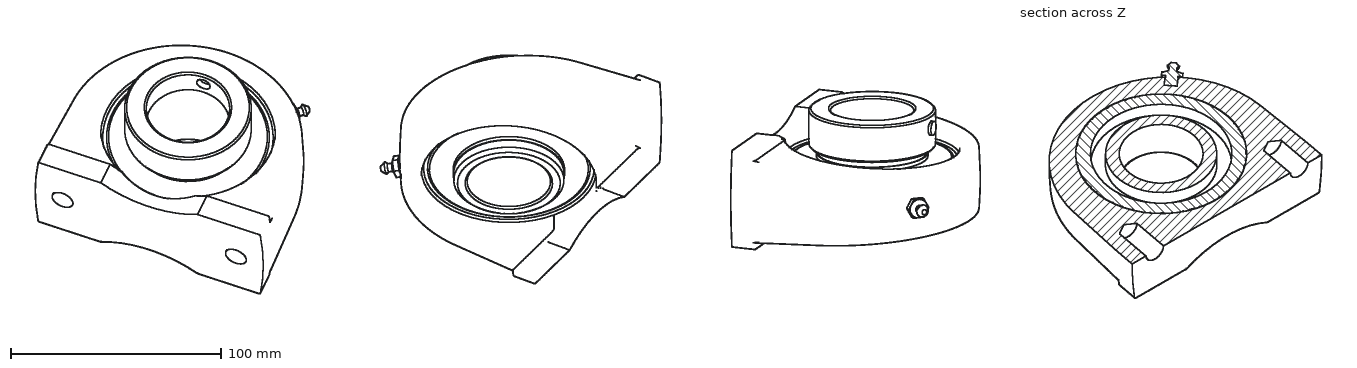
import cadquery as cq
import math


base_y = -49.3
base_step_y = -37.0
base_half_width = 58.5
base_half_height = 24.0
base_bulge_radius = 181.4
base_round = 1.0

crown_radius = 57.6
crown_center_y = -6.5
crown_bulge_radius = 193.0
flank_lean = 1.7
center_half_height = 18.3
taper_slope = 0.06
body_round = 0.8

scallop_half_width = 24.8
scallop_floor_z = 17.4

mount_hole_diameter = 10.6
mount_hole_x = 44.5
mount_hole_depth = 19.9
drill_tip_half_angle = 59.0

seat_diameter = 83.2
seat_round = 1.0
seat_foot = 1.0

ring_half_width = 10.5
ring_diameter = 81.1
ring_mouth_diameter = 77.5
shield_diameter = 75.6
shield_rise = 0.6
shield_thickness = 3.5
shield_boss_diameter = 70.3
shield_boss_z = 11.5
ring_bore_diameter = 67.0

inner_ring_diameter = 53.1
inner_ring_step_z = 13.3
inner_ring_end_diameter = 52.4
inner_ring_bottom_z = -19.3
inner_ring_end_chamfer = 1.8
bore_diameter = 39.7
bore_chamfer = 0.9
nose_diameter = 48.8
nose_top_z = 21.9

collar_diameter = 60.3
collar_bottom_z = 16.5
collar_top_z = 34.9
collar_chamfer = 0.9
screw_diameter = 6.8
screw_z = 28.3
screw_inner_y = 22.8
screw_outer_y = 31.4

nipple_angle = 45.0
nipple_root = 46.8
nipple_stem_diameter = 6.0
hex_start = 53.1
hex_end = 55.7
hex_across_flats = 9.0
shoulder_end = 56.9
neck_diameter = 4.0
head_start = 59.0
head_widest = 60.1
head_diameter = 6.0
head_end = 62.5
head_tip_diameter = 2.5


def arc_drop(radius, distance):
    """How far an arc falls away from its crest at a distance to the side."""
    return radius - math.sqrt(radius**2 - distance**2)


def bowed_section(plane, inner_x, half_width, bulge_radius):
    """Section with a straight inner side and an outward-bowed outer side."""
    corner_x = half_width - arc_drop(bulge_radius, base_half_height)
    return (
        cq.Workplane(plane)
        .moveTo(inner_x, -base_half_height)
        .lineTo(corner_x, -base_half_height)
        .threePointArc((half_width, 0), (corner_x, base_half_height))
        .lineTo(inner_x, base_half_height)
        .close()
    )


def vertical_plane(y, turn):
    """Plane across Y, local Y up, turned about Z by an angle in degrees."""
    angle = math.radians(turn)
    return cq.Plane(
        origin=(0, y, 0),
        xDir=(math.cos(angle), math.sin(angle), 0),
        normal=(math.sin(angle), -math.cos(angle), 0),
    )


def revolved(profile):
    """Solid of revolution about Z from (radius, z) points."""
    return cq.Workplane("XZ").polyline(profile).close().revolve(360, (0, 0, 0), (0, 1, 0))


def cylinder_z(diameter, bottom_z, top_z):
    return cq.Workplane("XY").workplane(offset=bottom_z).circle(diameter / 2).extrude(top_z - bottom_z)


def make_sides_limit():
    """Prism along Y with the bowed outline of the base sides."""
    half = bowed_section(vertical_plane(base_y, 0), 0, base_half_width, base_bulge_radius).extrude(
        -2 * base_half_width
    )
    return half.union(half.mirror("YZ"))


def base_room():
    """Space left for the base, with the flanks of the body reaching past its rounded back edges."""
    height = 2 * base_half_height
    depth = base_half_width
    middle = cq.Workplane("XY").box(2 * scallop_half_width, depth, height)
    middle = middle.translate((0, base_step_y - depth / 2, 0))
    full = cq.Workplane("XY").box(3 * base_half_width, depth, height)
    full = full.translate((0, base_step_y - 2 * base_round - depth / 2, 0))
    return middle.union(full)


def bore_seat(part):
    """Bores the bearing seat through a part and rounds the rims of the bore."""
    mouth = seat_diameter / 2
    seat = ring_diameter / 2
    foot_z = ring_half_width + seat_foot
    upper = [(mouth, base_half_height), (mouth, foot_z), (seat, ring_half_width)]
    lower = [(r, -z) for r, z in reversed(upper)]
    axis = [(0, -base_half_height), (0, base_half_height)]
    bored = part.cut(revolved(upper + lower + axis))
    rims = [
        edge
        for edge in bored.edges().vals()
        if all(
            abs(math.hypot(p.x, p.y) - seat_diameter / 2) < 0.001
            for p in edge.positions([0, 0.3, 0.7, 1])
        )
        and edge.geomType() != "LINE"
        and abs(edge.Center().z) > foot_z + 0.6
    ]
    return bored.newObject(rims).fillet(seat_round)


def make_body():
    """Rounded crown with two leaning flanks, thickening toward the base."""
    start = vertical_plane(crown_center_y, flank_lean)
    crown = bowed_section(start, 0, crown_radius, crown_bulge_radius).revolve(
        180 - 2 * flank_lean, (0, 0, 0), (0, 1, 0)
    )
    flank_overlap = 5.8
    flank = bowed_section(start, -flank_overlap, crown_radius, crown_bulge_radius).extrude(crown_radius)
    blank = crown.union(flank).union(flank.mirror("YZ"))

    back_y = crown_center_y + crown_radius + 1.2
    back_z = center_half_height - taper_slope * back_y
    front_z = center_half_height - taper_slope * base_y
    wedge = (
        cq.Workplane("YZ")
        .polyline([(back_y, -back_z), (back_y, back_z), (base_y, front_z), (base_y, -front_z)])
        .close()
        .extrude(base_half_width, both=True)
    )
    body = blank.intersect(wedge)
    body = body.faces(">Z or <Z").edges("not(<Y)").fillet(body_round)
    body = bore_seat(body.intersect(make_sides_limit()))
    return body.cut(base_room())


def make_base():
    """Thick foot with bowed sides and a shallow arc scooped from top and bottom."""
    depth = base_step_y - base_y
    slab = (
        cq.Workplane("XY")
        .box(2 * base_half_width, depth, 2 * base_half_height)
        .translate((0, base_y + depth / 2, 0))
    )
    base = slab.intersect(make_sides_limit())
    scallop_rise = base_half_height - scallop_floor_z
    scallop_radius = (scallop_half_width**2 + scallop_rise**2) / (2 * scallop_rise)
    for side in (1, -1):
        scoop = (
            cq.Workplane("XZ", origin=(0, base_y, 0))
            .center(0, side * (scallop_floor_z + scallop_radius))
            .circle(scallop_radius)
            .extrude(-depth)
        )
        base = base.cut(scoop)
    long_edges = base.edges("|Y").edges(">X or <X")
    base = base.newObject(base.edges(">Y").vals() + long_edges.vals()).fillet(base_round)
    return bore_seat(base)


def mount_hole(x):
    """Blind drilled hole with a conical tip, entering at the mounting face."""
    radius = mount_hole_diameter / 2
    tip = radius / math.tan(math.radians(drill_tip_half_angle))
    return (
        cq.Workplane("XY", origin=(x, base_y, 0))
        .polyline([(0, 0), (radius, 0), (radius, mount_hole_depth), (0, mount_hole_depth + tip)])
        .close()
        .revolve(360, (0, 0, 0), (0, 1, 0))
    )


def along_nipple(part):
    """Turns a part built along Z onto the axis of the grease nipple."""
    return part.rotate((0, 0, 0), (0, 1, 0), 90).rotate((0, 0, 0), (0, 0, 1), nipple_angle)


def make_housing():
    housing = make_body().union(make_base())
    for x in (-mount_hole_x, mount_hole_x):
        housing = housing.cut(mount_hole(x))
    return housing.cut(along_nipple(cylinder_z(nipple_stem_diameter, nipple_root, hex_start)))


def make_outer_ring():
    """Outer ring with a stepped bore that takes the shields."""
    outer = ring_diameter / 2
    mouth = ring_mouth_diameter / 2
    bore = ring_bore_diameter / 2
    land_z = ring_half_width - shield_thickness
    upper = [(outer, ring_half_width), (mouth, ring_half_width), (mouth, land_z), (bore, land_z)]
    lower = [(r, -z) for r, z in reversed(upper)]
    return revolved(upper + lower)


def make_shield(side):
    """Annular cover between the rings, coned gently toward the inner ring."""
    land_z = ring_half_width - shield_thickness
    flat_z = ring_half_width + shield_rise
    mouth = ring_mouth_diameter / 2
    profile = [
        (inner_ring_diameter / 2, land_z),
        (mouth, land_z),
        (mouth, ring_half_width),
        (shield_diameter / 2, flat_z),
        (shield_boss_diameter / 2, flat_z),
        (inner_ring_diameter / 2, shield_boss_z),
    ]
    return revolved([(r, side * z) for r, z in profile])


def make_inner_ring():
    """Inner ring whose upper end is a narrower nose inside the collar."""
    bore = bore_diameter / 2
    full = inner_ring_diameter / 2
    end = inner_ring_end_diameter / 2
    nose = nose_diameter / 2
    return revolved([
        (bore + bore_chamfer, inner_ring_bottom_z),
        (end - inner_ring_end_chamfer, inner_ring_bottom_z),
        (end, inner_ring_bottom_z + inner_ring_end_chamfer),
        (end, -inner_ring_step_z),
        (full, -inner_ring_step_z),
        (full, inner_ring_step_z),
        (end, inner_ring_step_z),
        (end, collar_bottom_z),
        (nose, collar_bottom_z),
        (nose, nose_top_z),
        (bore, nose_top_z),
        (bore, inner_ring_bottom_z + bore_chamfer),
    ])


def make_collar():
    """Locking collar over the nose of the inner ring, with a radial hole for the set screw."""
    outer = collar_diameter / 2
    bore = bore_diameter / 2
    nose = nose_diameter / 2
    collar = revolved([
        (nose, collar_bottom_z),
        (outer - collar_chamfer, collar_bottom_z),
        (outer, collar_bottom_z + collar_chamfer),
        (outer, collar_top_z - collar_chamfer),
        (outer - collar_chamfer, collar_top_z),
        (bore + bore_chamfer, collar_top_z),
        (bore, collar_top_z - bore_chamfer),
        (bore, nose_top_z),
        (nose, nose_top_z),
    ])
    screw_hole = (
        cq.Workplane("XZ", origin=(0, 0, screw_z)).circle(screw_diameter / 2).extrude(-collar_diameter)
    )
    return collar.cut(screw_hole)


def make_set_screw():
    return (
        cq.Workplane("XZ", origin=(0, screw_inner_y, screw_z))
        .circle(screw_diameter / 2)
        .extrude(screw_inner_y - screw_outer_y)
    )


def make_nipple():
    """Grease nipple: stem, hexagon, conical shoulder, neck and tapered head."""
    stem = nipple_stem_diameter / 2
    flat = hex_across_flats / 2
    neck = neck_diameter / 2
    head = head_diameter / 2
    tip = head_tip_diameter / 2
    turned = revolved([
        (0, nipple_root),
        (stem, nipple_root),
        (stem, hex_end),
        (flat, hex_end),
        (neck, shoulder_end),
        (neck, head_start),
        (head, head_widest),
        (tip, head_end),
        (0, head_end),
    ])
    hexagon = (
        cq.Workplane("XY")
        .workplane(offset=hex_start)
        .polygon(6, hex_across_flats, circumscribed=True)
        .extrude(hex_end - hex_start)
    )
    return along_nipple(turned.union(hexagon))


housing = make_housing()
outer_ring = make_outer_ring()
shields = [make_shield(side) for side in (1, -1)]
inner_ring = make_inner_ring()
collar = make_collar()
set_screw = make_set_screw()
nipple = make_nipple()

bodies = [housing, outer_ring, *shields, inner_ring, collar, set_screw, nipple]
result = cq.Compound.makeCompound([body.val() for body in bodies])